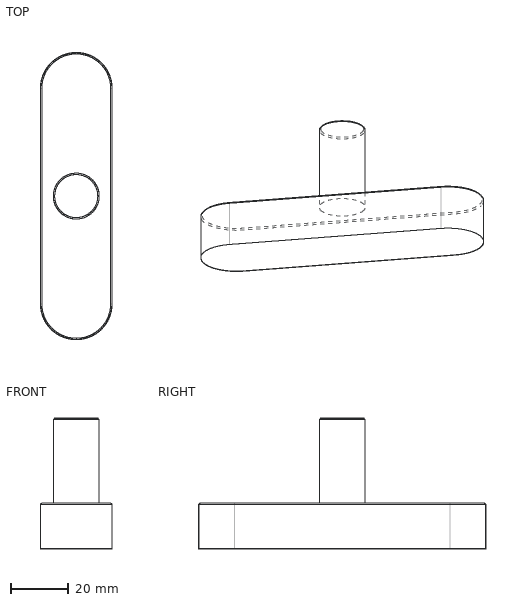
import cadquery as cq

bar_length = 100.0
bar_width = 25.0
bar_height = 16.0
bar_top_chamfer = 0.5

post_diameter = 16.0
total_height = 45.5
post_height = total_height - bar_height
post_top_chamfer = 0.5


def make_bar():
    """Bar along Y, resting on Z = 0, with its top edge chamfered."""
    return (
        cq.Workplane("XY")
        .slot2D(bar_length, bar_width, angle=90)
        .extrude(bar_height)
        .faces(">Z")
        .chamfer(bar_top_chamfer)
    )


def make_post():
    """Upright post on the bar's top face, with its top rim chamfered."""
    return (
        cq.Workplane("XY", origin=(0, 0, bar_height))
        .circle(post_diameter / 2)
        .extrude(post_height)
        .faces(">Z")
        .chamfer(post_top_chamfer)
    )


bar = make_bar()
post = make_post()

result = cq.Compound.makeCompound([bar.val(), post.val()])